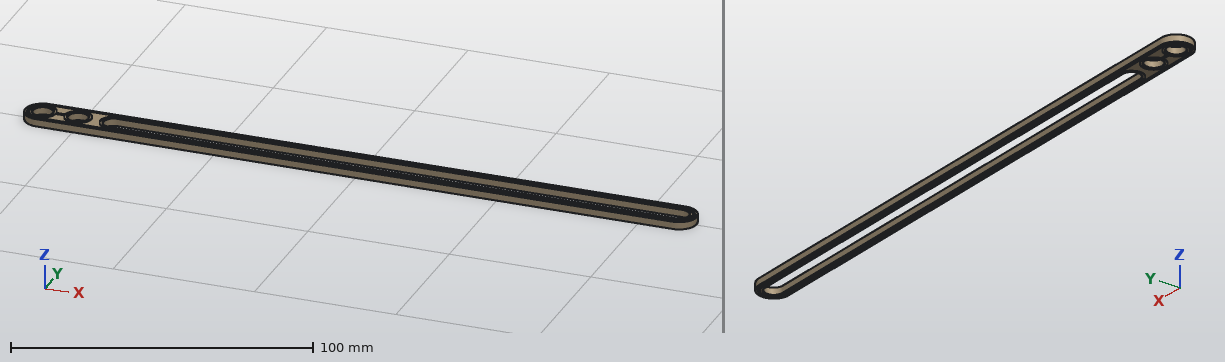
import cadquery as cq

length = 237.5
pitches_along_bar = 19
hole_pitch = length / pitches_along_bar
width = hole_pitch
thickness = hole_pitch / 4

opening_width = 7.0

collar_width = 9.3
rim_width = 1.0
recess_depth = 0.2

rib_width = 0.7

edge_bevel = 0.3

first_hole_x = -(length - width) / 2
second_hole_x = first_hole_x + hole_pitch
slot_start_x = second_hole_x + hole_pitch
slot_end_x = -first_hole_x


def rounded_bar(start_x, end_x, bar_width, height):
    """Upright bar whose round ends are centred on start_x and end_x."""
    return (
        cq.Workplane("XY")
        .center((start_x + end_x) / 2, 0)
        .slot2D(end_x - start_x + bar_width, bar_width)
        .extrude(height)
    )


def disc(x, diameter, height):
    """Upright cylinder centred on the bar's centre line."""
    return cq.Workplane("XY").center(x, 0).circle(diameter / 2).extrude(height)


def openings(opening, height):
    """Two discs and a slot-shaped bar, following the holes and the slot at a given width."""
    return (
        disc(first_hole_x, opening, height)
        .union(disc(second_hole_x, opening, height))
        .union(rounded_bar(slot_start_x, slot_end_x, opening, height))
    )


def face_recess():
    """The material sunk from one face: everything between the rim, the collars and the rib."""
    floor_area = rounded_bar(first_hole_x, slot_end_x, width - 2 * rim_width, recess_depth)
    rib = (
        cq.Workplane("XY")
        .center((first_hole_x + second_hole_x) / 2, 0)
        .rect(hole_pitch - opening_width, rib_width)
        .extrude(recess_depth)
    )
    return floor_area.cut(openings(collar_width, recess_depth)).cut(rib)


bar = rounded_bar(first_hole_x, slot_end_x, width, thickness).cut(openings(opening_width, thickness))
bevelled_bar = bar.faces("<Z or >Z").chamfer(edge_bevel)

bottom_recess = face_recess()
top_recess = bottom_recess.translate((0, 0, thickness - recess_depth))
result = bevelled_bar.cut(bottom_recess).cut(top_recess)